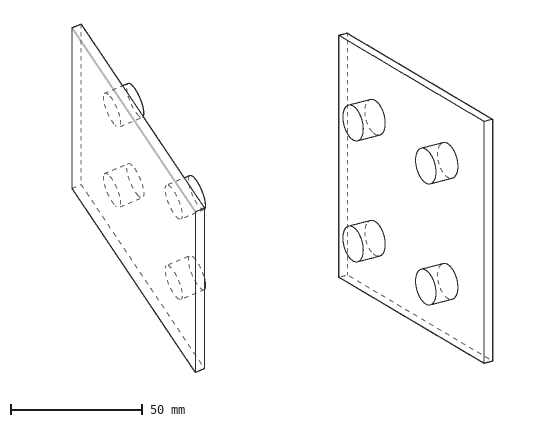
import cadquery as cq

plate_side = 100.0
plate_thickness = 4.0
top_edge_radius = 0.25

peg_diameter = 14.0
peg_length = 10.0
peg_spacing = plate_side / 2

plate = cq.Workplane("XY").box(
    plate_side, plate_thickness, plate_side, centered=(True, False, True)
)
plate = plate.faces("<Y").edges(">Z").fillet(top_edge_radius)

result = (
    plate.faces(">Y")
    .workplane(centerOption="CenterOfBoundBox")
    .rarray(peg_spacing, peg_spacing, 2, 2)
    .circle(peg_diameter / 2)
    .extrude(peg_length)
)